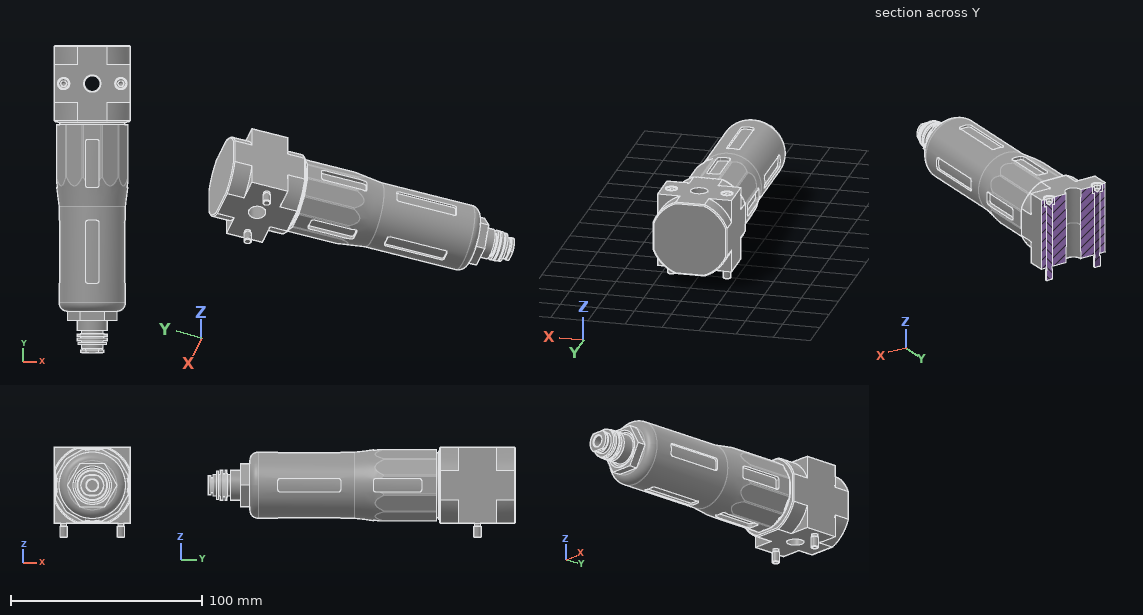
import cadquery as cq
import math


housing_size = 40.0
band_width = 20.0
end_diameter = 42.8
end_chamfer = 0.6
port_mouth_diameter = 9.0
port_waist_diameter = 8.2
boss_diameter = 36.0
boss_height = 0.3

screw_offset = 15.0
head_diameter = 6.0
head_height = 3.9
head_recess = 0.3
head_hole_mouth_diameter = 6.5
screw_neck_diameter = 3.2
screw_tip_diameter = 4.0
screw_projection = 7.4
screw_neck_projection = 1.3
screw_chamfer = 0.4
socket_flats = 2.9
socket_depth = 2.4
socket_mouth_diameter = 5.2
socket_mouth_depth = 0.6
socket_point_depth = 1.3

bowl_diameter = 34.8
neck_diameter = 34.1
grip_flats = 37.5
grip_sides = 12
grip_diameter = 38.6
grip_start = -21.4
taper_start = -49.1
taper_end = -64.2
bowl_end = -119.2
bowl_fillet = 4.5

window_width = 7.1
window_corner = 1.3
grip_window = (-54.5, -29.1, 33.5)
bowl_window = (-104.5, -71.5, 32.2)

hex_flats = 22.5
hex_end = -124.0
drain_diameter = 16.0
collar_end = -129.3
recess_diameter = 18.0
recess_mouth_diameter = 20.1
recess_depth = 1.0
stem_diameter = 11.5
stem_end = -138.5
fin_root_diameter = 12.2
fin_roots = (-130.7, -134.3)
fins = ((-131.0, -132.2, 16.0), (-133.0, -134.6, 15.8), (-135.4, -136.5, 15.1))
drain_neck_diameter = 10.6
drain_neck_flats = 8.0
disc_start = -139.3
disc_diameter = 12.0
disc_flats = 10.0
disc_cone_height = 0.3
drain_end = -141.0
bore_diameter = 6.0
bore_depth = 9.7
bore_mouth_diameter = 6.8
bore_mouth_depth = 0.4

half_housing = housing_size / 2
boss_end = -half_housing - boss_height


def cylinder_y(diameter, start, end):
    """Cylinder on the main axis, between two places along Y."""
    return cq.Workplane("XZ", origin=(0, start, 0)).circle(diameter / 2).extrude(start - end)


def cylinder_z(diameter, start, end, x=0):
    """Vertical cylinder at x, between two heights."""
    return cq.Workplane("XY", origin=(x, 0, start)).circle(diameter / 2).extrude(end - start)


def cone_z(bottom_diameter, top_diameter, bottom, top):
    """Vertical cone on the Z axis; a bottom diameter of zero gives a point."""
    return cq.Workplane(cq.Solid.makeCone(bottom_diameter / 2, top_diameter / 2, top - bottom,
                                          pnt=cq.Vector(0, 0, bottom)))


def cone_y(front_diameter, back_diameter, front, back):
    """Cone on the main axis; front is the end nearer -Y."""
    return cq.Workplane(cq.Solid.makeCone(front_diameter / 2, back_diameter / 2, back - front,
                                          pnt=cq.Vector(0, front, 0), dir=cq.Vector(0, 1, 0)))


def flat_disc(diameter, flats, start, end):
    """Disc on the main axis with two flats that face up and down."""
    slab = cq.Workplane("XY").box(diameter, 2 * abs(end), flats)
    return cylinder_y(diameter, start, end).intersect(slab)


def build_housing():
    ends = cq.Workplane("XY").box(housing_size, housing_size, housing_size)
    ends = ends.intersect(cylinder_y(end_diameter, half_housing, -half_housing))
    ends = ends.faces("<Y or >Y").chamfer(end_chamfer)
    band = cq.Workplane("XY").box(housing_size, band_width, housing_size)
    boss = cylinder_y(boss_diameter, -half_housing, boss_end)
    body = ends.union(band).union(boss)
    body = body.cut(cone_z(port_mouth_diameter, port_waist_diameter, -half_housing, 0))
    body = body.cut(cone_z(port_waist_diameter, port_mouth_diameter, 0, half_housing))
    head_top = half_housing - head_recess
    mouth = cone_z(head_diameter, head_hole_mouth_diameter, head_top, half_housing)
    for x in (-screw_offset, screw_offset):
        body = body.cut(cylinder_z(screw_neck_diameter, -half_housing, half_housing, x))
        body = body.cut(cylinder_z(head_diameter, head_top - head_height, head_top, x))
        body = body.cut(mouth.translate((x, 0, 0)))
    return body


def build_screw(x):
    head_top = half_housing - head_recess
    tip_end = -half_housing - screw_projection
    tip = cylinder_z(screw_tip_diameter, tip_end, -half_housing - screw_neck_projection)
    tip = tip.faces("<Z or >Z").chamfer(screw_chamfer)
    neck = cylinder_z(screw_neck_diameter, tip_end + screw_chamfer, head_top)
    head = cylinder_z(head_diameter, head_top - head_height, head_top)
    screw = neck.union(tip).union(head)
    socket_diameter = socket_flats / math.cos(math.pi / 6)
    socket_floor = head_top - socket_depth
    socket = cq.Workplane("XY", origin=(0, 0, socket_floor)).polygon(6, socket_diameter).extrude(socket_depth)
    mouth = cone_z(socket_flats, socket_mouth_diameter, head_top - socket_mouth_depth, head_top)
    point = cone_z(0, socket_flats, socket_floor - socket_point_depth, socket_floor)
    screw = screw.cut(socket).cut(mouth).cut(point)
    return screw.translate((x, 0, 0))


def build_grip():
    """Faceted sleeve whose corners are rounded, tapering down to the bowl."""
    grip_radius = grip_diameter / 2
    cone = (
        cq.Workplane("XY")
        .polyline([(0, grip_start), (grip_radius, grip_start), (grip_radius, taper_start),
                   (bowl_diameter / 2, taper_end), (0, taper_end)])
        .close()
        .revolve(360, (0, 0, 0), (0, 1, 0))
    )
    facets = (
        cq.Workplane("XZ", origin=(0, grip_start, 0))
        .transformed(rotate=(0, 0, 180 / grip_sides))
        .polygon(grip_sides, grip_flats / math.cos(math.pi / grip_sides))
        .extrude(grip_start - taper_end)
    )
    return cone.intersect(facets)


def build_window(start, end, floor_diameter):
    """Cutter for one window on the top side, down to a round floor."""
    length = end - start
    block = (
        cq.Workplane("XY", origin=(0, (start + end) / 2, 0))
        .rect(window_width, length)
        .extrude(grip_diameter)
        .edges("|Z")
        .fillet(window_corner)
    )
    return block.cut(cylinder_y(floor_diameter, end, start))


def build_drain():
    """Collar, finned stem and flattened end disc."""
    drain = cylinder_y(drain_diameter, bowl_end, collar_end)
    drain = drain.union(cylinder_y(stem_diameter, collar_end, stem_end))
    drain = drain.union(cylinder_y(fin_root_diameter, *fin_roots))
    for start, end, diameter in fins:
        drain = drain.union(cylinder_y(diameter, start, end))
    drain = drain.union(flat_disc(drain_neck_diameter, drain_neck_flats, stem_end, disc_start))
    disc = flat_disc(disc_diameter, disc_flats, disc_start, drain_end)
    disc_rim = drain_end + disc_cone_height
    end_face = cylinder_y(disc_diameter, disc_start, disc_rim)
    end_face = end_face.union(cone_y(bore_mouth_diameter, disc_diameter, drain_end, disc_rim))
    drain = drain.union(disc.intersect(end_face))
    drain = drain.cut(cylinder_y(bore_diameter, drain_end + bore_depth, drain_end))
    drain = drain.cut(cone_y(bore_mouth_diameter, bore_diameter, drain_end, drain_end + bore_mouth_depth))
    return drain


def build_hexagon():
    """Hexagon with a conical ring recess around the drain."""
    hexagon = (
        cq.Workplane("XZ", origin=(0, bowl_end, 0))
        .polygon(6, hex_flats / math.cos(math.pi / 6))
        .extrude(bowl_end - hex_end)
    )
    return hexagon.cut(cone_y(recess_mouth_diameter, recess_diameter, hex_end, hex_end + recess_depth))


def build_bowl():
    neck = cylinder_y(neck_diameter, boss_end, grip_start)
    shell = cylinder_y(bowl_diameter, taper_end, bowl_end).faces("<Y").edges().fillet(bowl_fillet)
    bowl = shell.union(build_grip()).union(neck)
    for place in (grip_window, bowl_window):
        window = build_window(*place)
        for angle in range(0, 360, 90):
            bowl = bowl.cut(window.rotate((0, 0, 0), (0, 1, 0), angle))
    return bowl.union(build_hexagon()).union(build_drain())


housing = build_housing()
bowl = build_bowl()
screws = [build_screw(x) for x in (-screw_offset, screw_offset)]

result = cq.Compound.makeCompound([housing.val(), bowl.val(), *[screw.val() for screw in screws]])